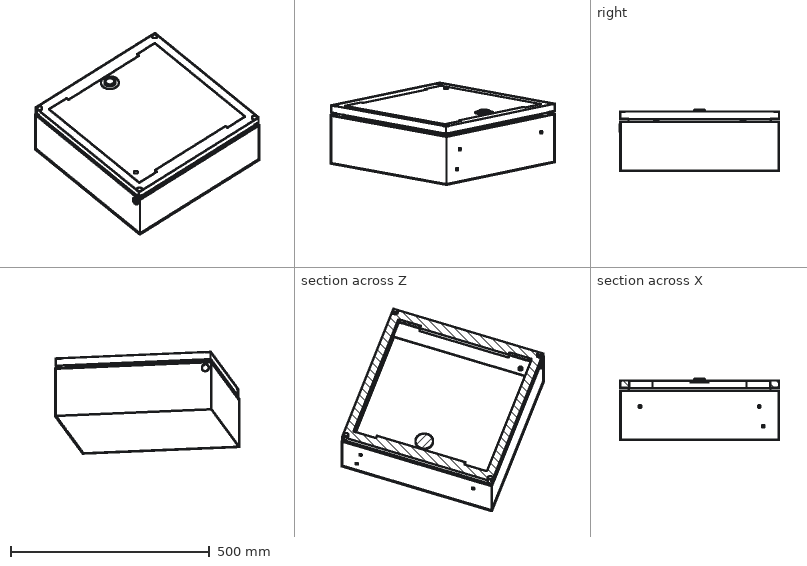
import cadquery as cq


SIDE = 400.0
WALL = 1.5
BODY_HEIGHT = 124.2
NECK_INSET = 20.5
NECK_RADIUS = 5.5

PLUG_RADIUS = 9.0
PLUG_THICKNESS = 2.0
PLUG_X = 184.0
PLUG_Z = 108.5

HOLE_DIAMETER = 6.0
HOLE_YZ = [(-150.0, 84.0), (150.0, 84.0), (160.0, 34.0)]

PAD_RADIUS = 5.2
PAD_HEIGHT = 1.5
PAD_X = -188.5
LUG_X = 183.5
LUG_THICKNESS = 1.2
LUG_FOOT = 2.5
LUG_LENGTH = 12.0
FITTING_Y = 109.5

DOOR_WIDTH = 396.5
DOOR_LENGTH = SIDE
DOOR_X = -1.0
DOOR_SHEET = 1.2
DOOR_TOP = 150.0
DOOR_DEPTH = 19.0
DOOR_BOTTOM = DOOR_TOP - DOOR_DEPTH
SHEET_BOTTOM = DOOR_TOP - DOOR_SHEET

RIM_SIDE_WIDTH = 25.7
RIM_END_WIDTH = 23.0
TAB_DEPTH = 7.2
TAB_LENGTH = 236.5

CORNER_HOLE_RADIUS = 6.5
CORNER_HOLE_INSET = 7.5

STUD_RADIUS = 5.0
STUD_LENGTH = 8.0
STUD_X = 138.3
STUD_Y = -159.0

LOCK_X = -142.7
LOCK_RADIUS = 14.0
LOCK_TOP_RADIUS = 11.3
LOCK_HEIGHT = 4.0
LOCK_BASE_HEIGHT = 1.5
LOCK_SHANK_RADIUS = 9.5
LOCK_NUT_RADIUS = 22.5
LOCK_NUT_THICKNESS = 5.0


def block(width, length, bottom, top, x=0.0, y=0.0):
    """Upright block centred on (x, y) between two heights."""
    outline = cq.Workplane("XY", origin=(x, y, bottom)).rect(width, length)
    return outline.extrude(top - bottom)


def disc(radius, bottom, top, x=0.0, y=0.0):
    """Upright cylinder centred on (x, y) between two heights."""
    outline = cq.Workplane("XY", origin=(x, y, bottom)).circle(radius)
    return outline.extrude(top - bottom)


def make_enclosure():
    neck_side = SIDE - 2 * NECK_INSET
    opening_side = neck_side - 2 * WALL
    cavity_side = SIDE - 2 * WALL
    neck = block(neck_side, neck_side, BODY_HEIGHT - WALL, DOOR_BOTTOM).edges("|Z").fillet(NECK_RADIUS)
    opening = block(opening_side, opening_side, WALL, DOOR_BOTTOM).edges("|Z").fillet(NECK_RADIUS - WALL)
    enclosure = block(SIDE, SIDE, 0, BODY_HEIGHT).union(neck)
    enclosure = enclosure.cut(block(cavity_side, cavity_side, WALL, BODY_HEIGHT - WALL)).cut(opening)

    plug = cq.Workplane("XZ", origin=(PLUG_X, -SIDE / 2, PLUG_Z)).circle(PLUG_RADIUS).extrude(PLUG_THICKNESS)
    enclosure = enclosure.union(plug)

    holes = (
        cq.Workplane("YZ", origin=(-SIDE / 2, 0, 0))
        .pushPoints(HOLE_YZ)
        .circle(HOLE_DIAMETER / 2)
        .extrude(WALL)
    )
    enclosure = enclosure.cut(holes)

    for y in (-FITTING_Y, FITTING_Y):
        pad = disc(PAD_RADIUS, BODY_HEIGHT, BODY_HEIGHT + PAD_HEIGHT, PAD_X, y)
        lug = block(LUG_THICKNESS, LUG_LENGTH, BODY_HEIGHT, DOOR_BOTTOM, LUG_X, y)
        foot_x = LUG_X + (LUG_FOOT - LUG_THICKNESS) / 2
        foot = block(LUG_FOOT, LUG_LENGTH, BODY_HEIGHT, BODY_HEIGHT + PAD_HEIGHT, foot_x, y)
        enclosure = enclosure.union(pad).union(lug).union(foot)
    return enclosure


def make_rim_window():
    width = DOOR_WIDTH - 2 * RIM_SIDE_WIDTH
    length = DOOR_LENGTH - 2 * RIM_END_WIDTH
    window = block(width, length, DOOR_BOTTOM, SHEET_BOTTOM)
    for side in (-1, 1):
        tab_x = side * (width - TAB_DEPTH) / 2
        window = window.cut(block(TAB_DEPTH, TAB_LENGTH, DOOR_BOTTOM, SHEET_BOTTOM, tab_x))
    return window.translate((DOOR_X, 0, 0))


def make_door(lock):
    door = block(DOOR_WIDTH, DOOR_LENGTH, DOOR_BOTTOM, DOOR_TOP, DOOR_X).cut(make_rim_window())
    hole_x = DOOR_WIDTH / 2 - CORNER_HOLE_INSET
    hole_y = DOOR_LENGTH / 2 - CORNER_HOLE_INSET
    for x in (DOOR_X - hole_x, DOOR_X + hole_x):
        for y in (-hole_y, hole_y):
            door = door.cut(disc(CORNER_HOLE_RADIUS, DOOR_BOTTOM, SHEET_BOTTOM, x, y))
    door = door.union(disc(STUD_RADIUS, SHEET_BOTTOM - STUD_LENGTH, SHEET_BOTTOM, STUD_X, STUD_Y))
    return door.cut(lock)


def make_lock():
    base_top = DOOR_TOP + LOCK_BASE_HEIGHT
    head = (
        cq.Workplane("XY", origin=(LOCK_X, 0, base_top))
        .circle(LOCK_RADIUS)
        .workplane(offset=LOCK_HEIGHT - LOCK_BASE_HEIGHT)
        .circle(LOCK_TOP_RADIUS)
        .loft()
        .union(disc(LOCK_RADIUS, DOOR_TOP, base_top, LOCK_X))
    )
    nut_bottom = SHEET_BOTTOM - LOCK_NUT_THICKNESS
    shank = disc(LOCK_SHANK_RADIUS, nut_bottom, DOOR_TOP, LOCK_X)
    nut = disc(LOCK_NUT_RADIUS, nut_bottom, SHEET_BOTTOM, LOCK_X)
    return head.union(shank).union(nut)


enclosure = make_enclosure()
lock = make_lock()
door = make_door(lock)

result = cq.Compound.makeCompound([enclosure.val(), door.val(), lock.val()])